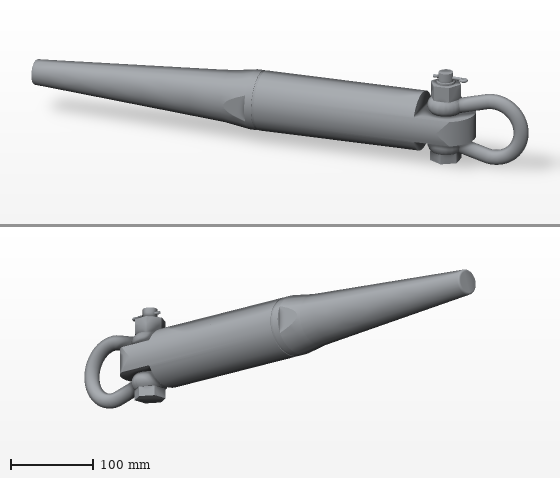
import cadquery as cq
import math

body_diameter = 74.0
small_end_diameter = 31.0
small_end_fillet = 2.5
long_cone_end_diameter = 64.0
long_cone_length = 250.0
cylinder_start_x = 282.0
transition_flat_width = 65.5
groove_x = 291.0
groove_width = 3.0
groove_depth = 0.5
tongue_start_x = 499.5
tongue_thickness = 32.0
tongue_root_fillet = 2.0

pin_x = 529.5
pin_diameter = 18.0

overall_length = 635.5
bar_diameter = 18.5
bow_radius = 36.0
leg_angle = 15.0
leg_start_x = 546.0
leg_end_x = 582.0

eye_end_diameter = 36.0
eye_middle_diameter = 45.0
eye_outer_z = 34.0

hex_width = 33.5
nut_turn = 0
head_turn = 30
head_height = 12.0
nut_height = 19.0
collar_diameter = 23.0
collar_height = 2.5
pin_top_z = 67.5
cotter_diameter = 4.0
cotter_z = 60.5
cotter_start_x = 513.5
cotter_end_x = 557.5
cotter_loop_width = 10.0
cotter_loop_drop = 1.0

body_radius = body_diameter / 2
tongue_half = tongue_thickness / 2
tongue_tip_x = pin_x + body_radius


def make_socket():
    """Turned cone and cylinder with a tongue, cross hole, groove and side flats."""
    turned = (
        cq.Workplane("XZ")
        .moveTo(0, 0)
        .lineTo(0, small_end_diameter / 2)
        .lineTo(long_cone_length, long_cone_end_diameter / 2)
        .lineTo(cylinder_start_x, body_radius)
        .lineTo(tongue_tip_x, body_radius)
        .lineTo(tongue_tip_x, 0)
        .close()
        .revolve(360, (0, 0, 0), (1, 0, 0))
        .faces("<X")
        .edges()
        .fillet(small_end_fillet)
    )

    groove = (
        cq.Workplane("YZ", origin=(groove_x, 0, 0))
        .circle(body_diameter)
        .circle(body_radius - groove_depth)
        .extrude(groove_width)
    )
    socket = turned.cut(groove)

    for side in (-1, 1):
        flat_cut = cq.Workplane("XY").box(
            cylinder_start_x, body_diameter, body_diameter, centered=(False, True, True)
        )
        offset = side * (transition_flat_width + body_diameter) / 2
        socket = socket.cut(flat_cut.translate((0, offset, 0)))

    for side in (-1, 1):
        stock = (
            cq.Workplane("XY", origin=(tongue_start_x, 0, tongue_half))
            .box(overall_length, 2 * body_diameter, body_diameter, centered=(False, True, False))
            .edges("<X and <Z")
            .fillet(tongue_root_fillet)
        )
        if side < 0:
            stock = stock.mirror("XY")
        socket = socket.cut(stock)

    tongue_outline = (
        cq.Workplane("XY", origin=(0, 0, -body_diameter))
        .moveTo(0, -body_diameter)
        .lineTo(pin_x, -body_diameter)
        .lineTo(pin_x, -body_radius)
        .threePointArc((tongue_tip_x, 0), (pin_x, body_radius))
        .lineTo(pin_x, body_diameter)
        .lineTo(0, body_diameter)
        .close()
        .extrude(2 * body_diameter)
    )
    socket = socket.intersect(tongue_outline)

    pin_hole = cq.Workplane("XY").circle(pin_diameter / 2).extrude(body_diameter, both=True)
    return socket.cut(pin_hole.translate((pin_x, 0, 0)))


def make_bow():
    """Bent bar: two sloping legs joined by a half ring, with a short bend at each joint."""
    bow_x = overall_length - bar_diameter / 2 - bow_radius
    slope = math.radians(leg_angle)
    bend_length = bow_x - leg_end_x
    bend_radius = bend_length / math.sin(slope)
    bend_centre_z = bow_radius - bend_radius
    leg_end_z = bend_centre_z + bend_radius * math.cos(slope)
    bend_middle = (
        bow_x - bend_radius * math.sin(slope / 2),
        bend_centre_z + bend_radius * math.cos(slope / 2),
    )
    leg_start_z = leg_end_z - (leg_end_x - leg_start_x) * math.tan(slope)

    path = (
        cq.Workplane("XZ")
        .moveTo(leg_start_x, leg_start_z)
        .lineTo(leg_end_x, leg_end_z)
        .threePointArc(bend_middle, (bow_x, bow_radius))
        .threePointArc((bow_x + bow_radius, 0), (bow_x, -bow_radius))
        .threePointArc((bend_middle[0], -bend_middle[1]), (leg_end_x, -leg_end_z))
        .lineTo(leg_start_x, -leg_start_z)
    )
    start_plane = cq.Plane(
        origin=(leg_start_x, 0, leg_start_z),
        xDir=(0, 1, 0),
        normal=(math.cos(slope), 0, math.sin(slope)),
    )
    return cq.Workplane(start_plane).circle(bar_diameter / 2).sweep(path)


def make_eye():
    """Barrel-shaped upper eye, solid through the middle where the bolt fills it."""
    middle_z = (tongue_half + eye_outer_z) / 2
    return (
        cq.Workplane("XZ")
        .moveTo(0, tongue_half)
        .lineTo(eye_end_diameter / 2, tongue_half)
        .threePointArc((eye_middle_diameter / 2, middle_z), (eye_end_diameter / 2, eye_outer_z))
        .lineTo(0, eye_outer_z)
        .close()
        .revolve(360, (0, 0, 0), (0, 1, 0))
        .translate((pin_x, 0, 0))
    )


def make_hexagon(base_z, height, turn):
    """Hexagonal prism on the pin axis; with no turn its corners point along X."""
    across_corners = hex_width / math.cos(math.pi / 6)
    return (
        cq.Workplane("XY")
        .polygon(6, across_corners)
        .extrude(height)
        .rotate((0, 0, 0), (0, 0, 1), turn)
        .translate((pin_x, 0, base_z))
    )


def make_cylinder(diameter, base_z, top_z):
    """Round length of the bolt on the pin axis."""
    return cq.Workplane("XY", origin=(pin_x, 0, base_z)).circle(diameter / 2).extrude(top_z - base_z)


def make_cotter():
    """Round cotter shank along X with a flat round loop, set slightly lower, at its +X end."""
    loop_radius = (cotter_loop_width - cotter_diameter) / 2
    loop_x = cotter_end_x - cotter_loop_width / 2
    shank = (
        cq.Workplane("YZ", origin=(cotter_start_x, 0, cotter_z))
        .circle(cotter_diameter / 2)
        .extrude(loop_x - loop_radius - cotter_start_x)
    )
    loop_centre = cq.Vector(loop_x, 0, cotter_z - cotter_loop_drop)
    loop = cq.Solid.makeTorus(loop_radius, cotter_diameter / 2, loop_centre)
    return shank.union(cq.Workplane(loop))


def make_shackle():
    """Bow, eyes, bolt, nut and cotter as one body."""
    nut_top_z = eye_outer_z + nut_height
    nut = make_hexagon(eye_outer_z, nut_height, nut_turn)
    head = make_hexagon(-eye_outer_z - head_height, head_height, head_turn)
    shank = make_cylinder(pin_diameter, -eye_outer_z, pin_top_z)
    collar = make_cylinder(collar_diameter, nut_top_z, nut_top_z + collar_height)
    upper_eye = make_eye()
    lower_eye = upper_eye.mirror("XY")

    shackle = make_bow()
    for feature in (upper_eye, lower_eye, shank, nut, head, collar, make_cotter()):
        shackle = shackle.union(feature)
    return shackle


socket = make_socket()
shackle = make_shackle()
result = cq.Compound.makeCompound([socket.val(), shackle.val()])